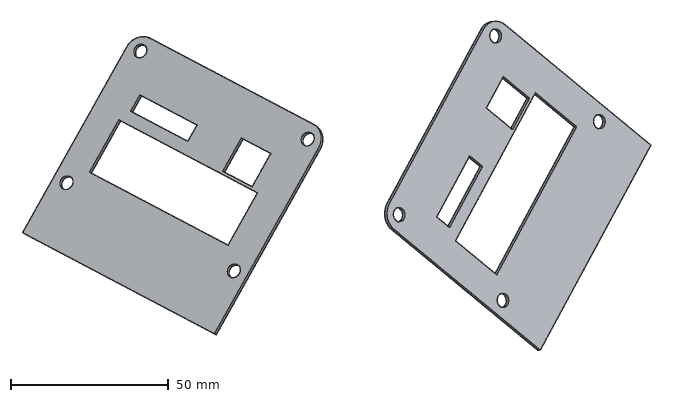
import cadquery as cq

panel_width = 79.0
panel_length = 73.55
panel_thickness = 1.5
tilt_angle = 40.0
corner_radius = 6.0

hole_diameter = 4.5
hole_edge_margin = 5.05
hole_row_spacing = 47.95

display_width = 57.0
display_height = 19.0
display_left = 10.5
display_bottom = 26.9

slot_width = 23.55
slot_height = 5.9
slot_left = 12.7
slot_bottom = 50.2

square_side = 12.1
square_left = 52.7
square_bottom = 46.9


def make_panel():
    """Rectangular sheet with its upper two corners rounded."""
    sheet = cq.Workplane("XY").box(
        panel_width, panel_length, panel_thickness, centered=False
    )
    return sheet.edges("|Z and >Y").fillet(corner_radius)


def through_window(left, bottom, width, height):
    """Rectangular cutter that passes through the sheet."""
    return (
        cq.Workplane("XY")
        .box(width, height, panel_thickness, centered=False)
        .translate((left, bottom, 0))
    )


def screw_hole_cutters():
    """Four round cutters that pass through the sheet."""
    upper_row = panel_length - hole_edge_margin
    lower_row = upper_row - hole_row_spacing
    centres = [
        (u, v)
        for u in (hole_edge_margin, panel_width - hole_edge_margin)
        for v in (lower_row, upper_row)
    ]
    return (
        cq.Workplane("XY")
        .pushPoints(centres)
        .circle(hole_diameter / 2)
        .extrude(panel_thickness)
    )


flat_panel = (
    make_panel()
    .cut(through_window(display_left, display_bottom, display_width, display_height))
    .cut(through_window(slot_left, slot_bottom, slot_width, slot_height))
    .cut(through_window(square_left, square_bottom, square_side, square_side))
    .cut(screw_hole_cutters())
)

result = flat_panel.rotate((0, 0, 0), (1, 0, 0), tilt_angle)